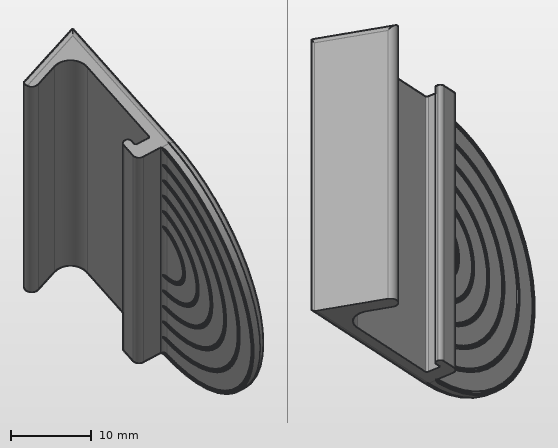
import cadquery as cq
import math


length = 42.3
depth = 10.32
height = 40.0
disc_radius = height / 2
left_end = disc_radius - length

plate_thickness = 2.4
edge_radius = 1.0
edge_bend = edge_radius * (1 - math.sqrt(0.5))
corner_radius = 0.5
arm_angle = math.radians(20.6)
arm_tip_radius = 1.0
arm_root_radius = 2.5

hook_depth = 5.8
hook_wall = 2.1
hook_reach = 3.45
hook_lip = 1.2
hook_outer_radius = 0.95
hook_lip_radius = 0.55
hook_inner_radius = 0.25

grip_thickness = 1.95
ridge_count = 6
ridge_pitch = 3.0
ridge_width = 0.5
crest_width = 0.2
ridge_height = 0.13
blend_width = 0.97
blend_radius = 2.0


def upright(outline):
    """Extrude a closed XY outline over the full height, centred on z = 0."""
    return outline.close().extrude(height / 2, both=True)


def post(x, y):
    """Select the vertical edge that passes through (x, y)."""
    margin = 0.02
    return cq.selectors.BoxSelector(
        (x - margin, y - margin, -height), (x + margin, y + margin, height)
    )


def make_plate_and_arm():
    """Flat plate with the slanted arm hanging from its left end."""
    sin_a = math.sin(arm_angle)
    cos_a = math.cos(arm_angle)
    corner_x = left_end + corner_radius * (1 - 1 / cos_a - math.tan(arm_angle))
    tip_y = arm_tip_radius - depth
    along = (arm_tip_radius * sin_a - tip_y) / cos_a
    tip_x = corner_x + along * sin_a + arm_tip_radius * cos_a
    outer_end = (tip_x - arm_tip_radius * cos_a, tip_y - arm_tip_radius * sin_a)
    inner_end = (tip_x + arm_tip_radius * cos_a, tip_y + arm_tip_radius * sin_a)
    tip_end = (tip_x + arm_tip_radius * sin_a, tip_y - arm_tip_radius * cos_a)
    root_x = inner_end[0] - (-plate_thickness - inner_end[1]) * math.tan(arm_angle)

    body = upright(
        cq.Workplane("XY")
        .moveTo(0, 0)
        .lineTo(corner_x, 0)
        .lineTo(*outer_end)
        .threePointArc(tip_end, inner_end)
        .lineTo(root_x, -plate_thickness)
        .lineTo(0, -plate_thickness)
    )
    body = body.edges(post(root_x, -plate_thickness)).fillet(arm_root_radius)
    body = body.edges(post(corner_x, 0)).fillet(corner_radius)

    section = cq.Plane(
        origin=(corner_x, 0, height / 2), xDir=(cos_a, sin_a, 0), normal=(sin_a, -cos_a, 0)
    )
    return body.cut(edge_waste(section, 4 * depth))


def edge_waste(plane, run):
    """Waste outside a rounded edge: local +X goes into the part, local +Y out of its end face."""
    return (
        cq.Workplane(plane)
        .moveTo(0, -edge_radius)
        .threePointArc((edge_bend, -edge_bend), (edge_radius, 0))
        .lineTo(edge_radius, edge_radius)
        .lineTo(-edge_radius, edge_radius)
        .lineTo(-edge_radius, -edge_radius)
        .close()
        .extrude(run / 2, both=True)
    )


def make_rounded_plate():
    """Plate and arm with both end edges of the flat back rounded."""
    body = make_plate_and_arm()
    for side in (1, -1):
        section = cq.Plane(
            origin=(0, 0, side * height / 2), xDir=(0, -1, 0), normal=(-side, 0, 0)
        )
        body = body.cut(edge_waste(section, 2 * length))
    return body


def make_hook():
    """Rail with a lip that reaches back towards the arm."""
    lip_top = hook_lip - hook_depth
    lip_end = -hook_reach
    hook = upright(
        cq.Workplane("XY")
        .moveTo(0, -edge_radius)
        .lineTo(0, -hook_depth)
        .lineTo(lip_end, -hook_depth)
        .lineTo(lip_end, lip_top)
        .lineTo(-hook_wall, lip_top)
        .lineTo(-hook_wall, -edge_radius)
    )
    hook = hook.edges(post(0, -hook_depth)).fillet(hook_outer_radius)
    hook = hook.edges(post(lip_end, -hook_depth)).fillet(hook_lip_radius)
    hook = hook.edges(post(lip_end, lip_top)).fillet(hook_lip_radius)
    return hook.edges(post(-hook_wall, lip_top)).fillet(hook_inner_radius)


def make_grip():
    """Full disc with a rounded back rim; its left half merges into the plate."""
    return (
        cq.Workplane("XY")
        .lineTo(edge_radius - disc_radius, 0)
        .threePointArc((edge_bend - disc_radius, -edge_bend), (-disc_radius, -edge_radius))
        .lineTo(-disc_radius, -grip_thickness)
        .lineTo(0, -grip_thickness)
        .close()
        .revolve(360, (0, 0), (0, 1))
    )


def make_ridge(radius):
    """Low ring of trapezoid section, standing on the grip."""
    root = -grip_thickness / 2
    crest = -grip_thickness - ridge_height
    return (
        cq.Workplane("XY")
        .moveTo(-radius - ridge_width / 2, root)
        .lineTo(-radius - ridge_width / 2, -grip_thickness)
        .lineTo(-radius - crest_width / 2, crest)
        .lineTo(-radius + crest_width / 2, crest)
        .lineTo(-radius + ridge_width / 2, -grip_thickness)
        .lineTo(-radius + ridge_width / 2, root)
        .close()
        .revolve(360, (0, 0), (0, 1))
    )


def make_blend():
    """Shallow concave strip from the grip up to the rail, cut to the disc outline."""
    rise = blend_radius - math.sqrt(blend_radius**2 - blend_width**2)
    half_angle = math.asin(blend_width / blend_radius) / 2
    middle_x = blend_width - blend_radius * math.sin(half_angle)
    middle_y = -grip_thickness - blend_radius * (1 - math.cos(half_angle))
    strip = upright(
        cq.Workplane("XY")
        .moveTo(-hook_wall / 2, -edge_radius)
        .lineTo(blend_width, -edge_radius)
        .lineTo(blend_width, -grip_thickness)
        .threePointArc((middle_x, middle_y), (0, -grip_thickness - rise))
        .lineTo(-hook_wall / 2, -grip_thickness - rise)
    )
    outline = cq.Workplane("XZ").circle(disc_radius).extrude(depth)
    return strip.intersect(outline)


result = make_rounded_plate().union(make_hook())
result = result.edges(post(-hook_wall, -plate_thickness)).fillet(hook_inner_radius)
result = result.union(make_grip()).union(make_blend())

outer_ridge_radius = disc_radius - ridge_width / 2
for index in range(ridge_count):
    result = result.union(make_ridge(outer_ridge_radius - index * ridge_pitch))